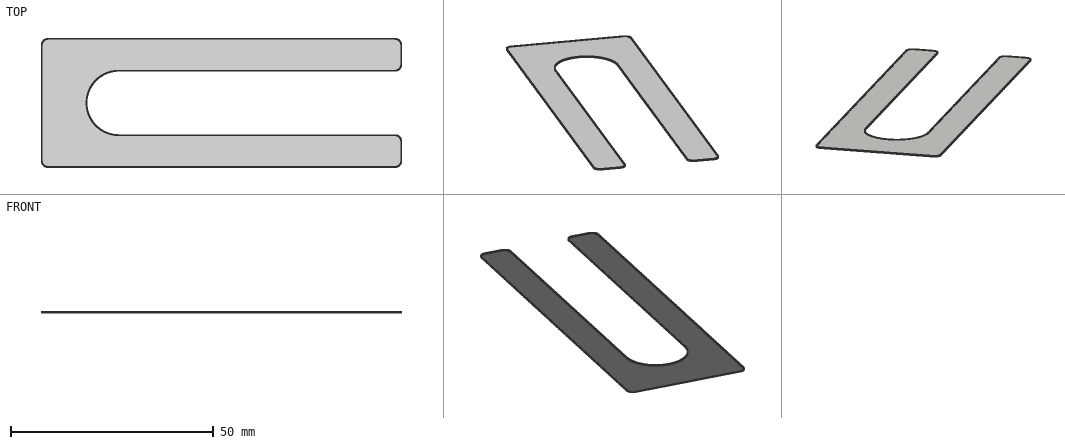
import cadquery as cq

length = 88.9
width = 31.7
thickness = 0.25
slot_width = width / 2
slot_radius = slot_width / 2
closed_end_web = 11.1
corner_radius = 1.6

plate = cq.Workplane("XY").box(length, width, thickness)

slot_center_x = -length / 2 + closed_end_web + slot_radius
slot_run = length / 2 - slot_center_x
slot_end = cq.Workplane("XY").center(slot_center_x, 0).circle(slot_radius).extrude(thickness, both=True)
slot_channel = (
    cq.Workplane("XY")
    .center(slot_center_x + slot_run / 2, 0)
    .rect(slot_run, slot_width)
    .extrude(thickness, both=True)
)
shim = plate.cut(slot_end.union(slot_channel))

result = shim.edges("|Z and (<X or >X)").fillet(corner_radius)